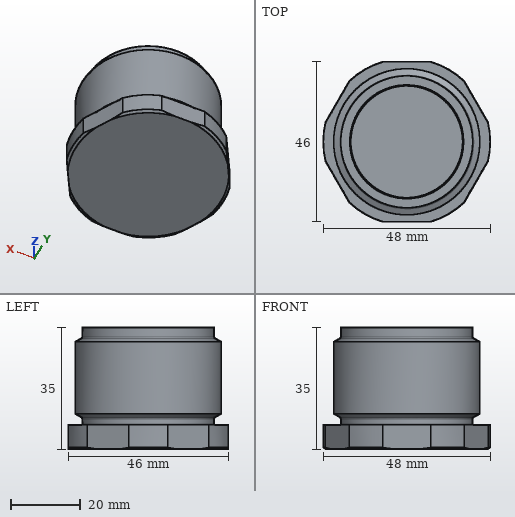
import cadquery as cq
import math

total_height = 35.0
cone_angle = math.radians(30.0)

head_sides = 6
across_flats = 46.0
corner_radius = 24.0
head_height = 7.0
head_chamfer_height = 0.5
head_chamfer_width = head_chamfer_height / math.tan(cone_angle)

body_radius = 21.0
neck_radius = 18.95
lower_cone_start = 9.0
upper_cone_end = 32.0
cone_height = (body_radius - neck_radius) * math.tan(cone_angle)

head_fillet = 0.3
cone_fillet = 0.5

recess_floor_radius = 16.05
recess_rim_radius = 16.35
recess_depth = 0.3


def turn(outline):
    """Revolve a closed (radius, height) outline about the Z axis."""
    return cq.Workplane("XZ").polyline(outline).close().revolve(360, (0, 0), (0, 1))


def make_head():
    """Hexagon, flats facing +Y and -Y, with its corners turned round and its lower rim chamfered."""
    circumscribed_diameter = across_flats / math.cos(math.pi / head_sides)
    hexagon = cq.Workplane("XY").polygon(head_sides, circumscribed_diameter).extrude(head_height)
    turned_blank = turn([
        (0, 0),
        (corner_radius - head_chamfer_width, 0),
        (corner_radius, head_chamfer_height),
        (corner_radius, head_height),
        (0, head_height),
    ])
    return hexagon.intersect(turned_blank)


def make_body():
    """Turned body: neck, lower cone, thread diameter, upper cone and top collar."""
    return turn([
        (0, head_height),
        (neck_radius, head_height),
        (neck_radius, lower_cone_start),
        (body_radius, lower_cone_start + cone_height),
        (body_radius, upper_cone_end - cone_height),
        (neck_radius, upper_cone_end),
        (neck_radius, total_height),
        (0, total_height),
    ])


def fillet_neck_circle(solid, height, radius):
    """Round the inside corner on the neck diameter at the given height."""
    margin = 0.01
    low_corner = (-body_radius, -body_radius, height - margin)
    high_corner = (body_radius, body_radius, height + margin)
    neck_circle = cq.selectors.BoxSelector(low_corner, high_corner, boundingbox=True)
    return solid.edges(neck_circle).fillet(radius)


def make_recess():
    """Shallow conical recess that narrows down to a flat floor."""
    floor_height = total_height - recess_depth
    return turn([
        (0, floor_height),
        (recess_floor_radius, floor_height),
        (recess_rim_radius, total_height),
        (0, total_height),
    ])


part = make_head().union(make_body())
part = fillet_neck_circle(part, head_height, head_fillet)
part = fillet_neck_circle(part, lower_cone_start, cone_fillet)
part = fillet_neck_circle(part, upper_cone_end, cone_fillet)
result = part.cut(make_recess())